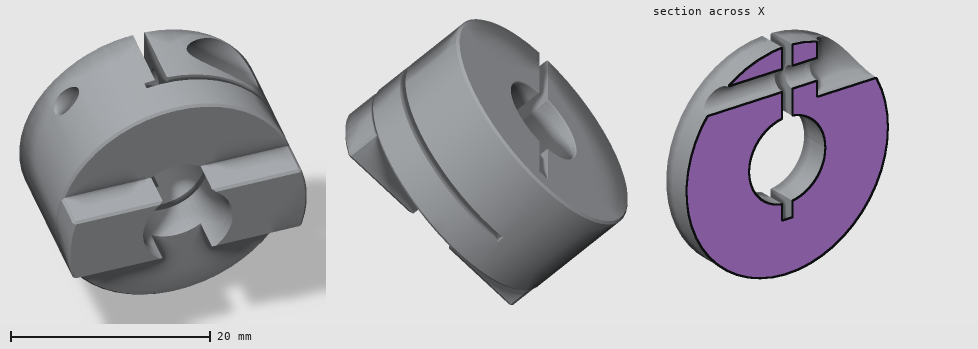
import cadquery as cq
import math

hub_diameter = 25.4
hub_length = 11.86
bore_diameter = 9.525
edge_chamfer = 0.25
bore_chamfer = 0.1

overall_length = 15.66
lug_width = 7.95
lug_chamfer = 0.25

slit_width = 1.25
cross_cut_start = 7.18
cross_cut_width = 0.75
cross_cut_end_y = -1.78
slit_end_z = -10.75
slit_runout_x = 4.7
slit_runout_radius = 25.0

screw_x = 3.57
screw_z = 9.0
screw_hole_diameter = 2.5
head_bore_diameter = 6.1
head_seat_y = 3.75

hub_radius = hub_diameter / 2
bore_radius = bore_diameter / 2
lug_length = overall_length - hub_length


def make_hub():
    """Cylinder with both rims chamfered."""
    return cq.Workplane("YZ").circle(hub_radius).extrude(hub_length).edges().chamfer(edge_chamfer)


def make_lugs():
    """Bar across the hub with rounded ends, chamfered at its corners and outer rim."""
    bar = cq.Workplane("YZ").rect(2 * hub_diameter, lug_width).extrude(lug_length)
    disc = cq.Workplane("YZ").circle(hub_radius).extrude(lug_length)
    lugs = bar.intersect(disc)
    lugs = lugs.edges("|X or >X").chamfer(lug_chamfer)
    return lugs.translate((hub_length, 0, 0))


def make_bore():
    """Through bore, flared by a small chamfer at the clamping face."""
    bore = cq.Workplane("YZ").circle(bore_radius).extrude(overall_length)
    mouth_radius = bore_radius + bore_chamfer
    mouth = cq.Workplane("XY").add(
        cq.Solid.makeCone(mouth_radius, bore_radius, bore_chamfer, dir=cq.Vector(1, 0, 0))
    )
    return bore.union(mouth)


def make_slit():
    """Slit open above the bore; below it, the floor sweeps up from the face into the bore."""
    floor_rise_z = -math.sqrt(bore_radius**2 - (slit_width / 2) ** 2)
    start = (0, slit_end_z)
    end = (slit_runout_x, floor_rise_z)
    chord = math.dist(start, end)
    sagitta = slit_runout_radius - math.sqrt(slit_runout_radius**2 - (chord / 2) ** 2)
    profile = (
        cq.Workplane("XZ")
        .moveTo(*start)
        .sagittaArc(end, -sagitta)
        .lineTo(slit_runout_x, 0)
        .lineTo(cross_cut_start, 0)
        .lineTo(cross_cut_start, hub_radius)
        .lineTo(0, hub_radius)
        .close()
    )
    return profile.extrude(slit_width / 2, both=True)


def make_cross_cut():
    """Cut behind the clamp arm, open on the +Y side and through the full height."""
    depth = hub_radius - cross_cut_end_y
    cut = cq.Workplane("XY").box(cross_cut_width, depth, hub_diameter, centered=(False, False, True))
    return cut.translate((cross_cut_start, cross_cut_end_y, 0))


def make_screw_hole():
    """Through hole along Y, widened from the seat out to the +Y side for the screw head."""
    axis = cq.Workplane("XZ").center(screw_x, screw_z)
    hole = axis.circle(screw_hole_diameter / 2).extrude(hub_radius, both=True)
    seat = axis.workplane(offset=-head_seat_y)
    head_bore = seat.circle(head_bore_diameter / 2).extrude(head_seat_y - hub_radius)
    return hole.union(head_bore)


result = (
    make_hub()
    .union(make_lugs())
    .cut(make_bore())
    .cut(make_slit())
    .cut(make_cross_cut())
    .cut(make_screw_hole())
)